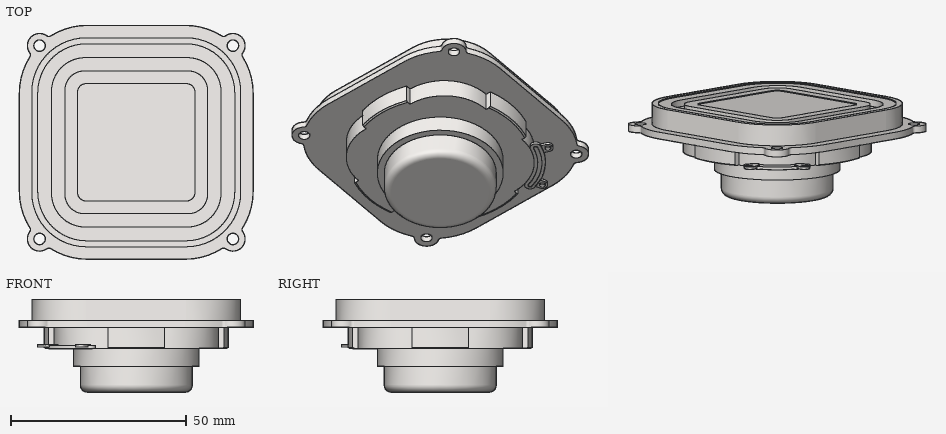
import cadquery as cq
import math


flange_side = 66.8
flange_corner_radius = 19.4
flange_thickness = 2.0
lug_offset = 27.6
lug_diameter = 7.0
lug_blend_radius = 1.0
screw_hole_diameter = 3.2

rim_side = 59.65
rim_corner_radius = 15.55
rim_height = 6.0
surround_side = 56.25
surround_corner_radius = 13.95
surround_recess = 0.3
groove_outer_side = 48.35
groove_outer_corner_radius = 9.6
groove_inner_side = 40.75
groove_inner_corner_radius = 5.55
groove_depth = 1.95
diaphragm_side = 33.55
diaphragm_corner_radius = 2.5
diaphragm_recess = 0.3

basket_side = 47.0
basket_corner_radius = 15.35
basket_height = 5.95
bulge_diameter = 52.7
bulge_width = 16.15
bulge_chamfer_height = 0.3
bulge_chamfer_depth = 0.55

collar_diameter = 35.95
collar_height = 5.15
magnet_diameter = 32.0
magnet_height = 7.4
magnet_fillet = 2.0

board_width = 3.2
board_thickness = 0.8
rib_width = 1.2
rib_depth = 0.2
board_end_angle = 17.5
tag_width = 3.0
tag_thickness = 0.75
tag_hole_diameter = 1.75
tag_rise = 0.3
tag_angle = 22.4
tag_reach = 3.15

flange_top = flange_thickness
rim_top = flange_top + rim_height
surround_top = rim_top - surround_recess
basket_bottom = -basket_height
collar_bottom = basket_bottom - collar_height
board_mid_radius = basket_corner_radius + board_width / 2
tag_bottom = basket_bottom + board_thickness + tag_rise - tag_thickness

corner_signs = [(-1, -1), (-1, 1), (1, -1), (1, 1)]


def rounded_square(side, corner_radius, bottom, top):
    """Square prism with rounded vertical edges between two heights."""
    block = cq.Workplane("XY").workplane(offset=bottom).rect(side, side).extrude(top - bottom)
    return block.edges("|Z").fillet(corner_radius)


def disc(diameter, bottom, top):
    """Cylinder on the Z axis between two heights."""
    return cq.Workplane("XY").workplane(offset=bottom).circle(diameter / 2).extrude(top - bottom)


def make_flange():
    """Rounded square plate with a blended screw lug at each corner."""
    lug_centres = [(x * lug_offset, y * lug_offset) for x, y in corner_signs]
    flange = rounded_square(flange_side, flange_corner_radius, 0, flange_top)
    lugs = cq.Workplane("XY").pushPoints(lug_centres).circle(lug_diameter / 2).extrude(flange_thickness)
    flange = flange.union(lugs)

    corner_centre = flange_side / 2 - flange_corner_radius
    centre_gap = math.sqrt(2) * (lug_offset - corner_centre)
    along = (flange_corner_radius**2 - (lug_diameter / 2) ** 2 + centre_gap**2) / (2 * centre_gap)
    across = math.sqrt(flange_corner_radius**2 - along**2)
    far = corner_centre + (along + across) / math.sqrt(2)
    near = corner_centre + (along - across) / math.sqrt(2)
    for x, y in corner_signs:
        for notch_x, notch_y in [(x * far, y * near), (x * near, y * far)]:
            notch = cq.selectors.NearestToPointSelector((notch_x, notch_y, flange_thickness / 2))
            flange = flange.edges("|Z").edges(notch).fillet(lug_blend_radius)

    holes = cq.Workplane("XY").pushPoints(lug_centres).circle(screw_hole_diameter / 2).extrude(flange_thickness)
    return flange.cut(holes)


def make_rim():
    """Raised rim with the recessed surround, its groove and the recessed diaphragm."""
    rim = rounded_square(rim_side, rim_corner_radius, flange_top, rim_top)
    rim = rim.cut(rounded_square(surround_side, surround_corner_radius, surround_top, rim_top))
    groove_floor = surround_top - groove_depth
    groove = rounded_square(groove_outer_side, groove_outer_corner_radius, groove_floor, surround_top)
    island = rounded_square(groove_inner_side, groove_inner_corner_radius, groove_floor, surround_top)
    rim = rim.cut(groove.cut(island))
    diaphragm_top = surround_top - diaphragm_recess
    return rim.cut(rounded_square(diaphragm_side, diaphragm_corner_radius, diaphragm_top, surround_top))


def make_basket():
    """Rounded square basket with a shallow arc-faced bulge on each side."""
    basket = rounded_square(basket_side, basket_corner_radius, basket_bottom, 0)
    strip = cq.Workplane("XY").workplane(offset=basket_bottom)
    strip_x = strip.rect(bulge_diameter, bulge_width).extrude(basket_height)
    strip_y = strip.rect(bulge_width, bulge_diameter).extrude(basket_height)
    bound = disc(bulge_diameter, basket_bottom, 0)
    bound = bound.faces("<Z").edges().chamfer(bulge_chamfer_height, bulge_chamfer_depth)
    bulges = strip_x.union(strip_y).intersect(bound)
    return basket.union(bulges)


def make_magnet():
    """Collar and magnet cup with a rounded lower edge."""
    collar = disc(collar_diameter, collar_bottom, basket_bottom)
    cup = disc(magnet_diameter, collar_bottom - magnet_height, collar_bottom)
    return collar.union(cup.faces("<Z").edges().fillet(magnet_fillet))


def make_driver():
    return make_flange().union(make_rim()).union(make_basket()).union(make_magnet())


def polar(radius, angle):
    """Point at a radius and angle in degrees about the centre of the basket's (-X, -Y) corner arc."""
    corner_centre = -(basket_side / 2 - basket_corner_radius)
    turn = math.radians(angle)
    return (corner_centre + radius * math.cos(turn), corner_centre + radius * math.sin(turn))


def curved_strip(width, bottom, thickness):
    """Arc-shaped strip with round ends along the middle line of the terminal board."""
    inner_radius = board_mid_radius - width / 2
    outer_radius = board_mid_radius + width / 2
    start = 180 + board_end_angle
    middle = 225
    end = 270 - board_end_angle
    end_bow = math.degrees(width / 2 / board_mid_radius)
    return (
        cq.Workplane("XY").workplane(offset=bottom)
        .moveTo(*polar(inner_radius, start))
        .threePointArc(polar(inner_radius, middle), polar(inner_radius, end))
        .threePointArc(polar(board_mid_radius, end + end_bow), polar(outer_radius, end))
        .threePointArc(polar(outer_radius, middle), polar(outer_radius, start))
        .threePointArc(polar(board_mid_radius, start - end_bow), polar(inner_radius, start))
        .close()
        .extrude(thickness)
    )


def make_tag(angle):
    """Radial solder tag with round ends and a hole in its outer end."""
    tag = (
        cq.Workplane("XY").workplane(offset=tag_bottom)
        .center(*polar(board_mid_radius + tag_reach / 2, angle))
        .slot2D(tag_reach + tag_width, tag_width, angle)
        .extrude(tag_thickness)
    )
    hole = (
        cq.Workplane("XY").workplane(offset=tag_bottom)
        .center(*polar(board_mid_radius + tag_reach, angle))
        .circle(tag_hole_diameter / 2)
        .extrude(tag_thickness)
    )
    return tag.cut(hole)


def make_terminal_board():
    """Curved board hugging the basket corner, with a rib underneath and two solder tags."""
    board = curved_strip(board_width, basket_bottom, board_thickness)
    board = board.union(curved_strip(rib_width, basket_bottom - rib_depth, rib_depth))
    for angle in (180 + tag_angle, 270 - tag_angle):
        board = board.union(make_tag(angle))

    return board.cut(make_basket())


driver = make_driver()
terminal_board = make_terminal_board()

result = cq.Compound.makeCompound([driver.val(), terminal_board.val()])